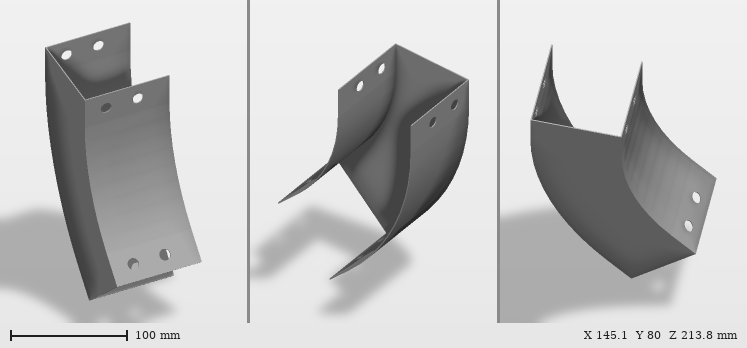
import cadquery as cq
import math

height = 213.8
width = 80.0
depth = 80.0
sheet = 1.0
tab_length = 30.0
bend_angle = 45.0
hole_diameter = 10.0
hole_pitch = 30.0
hole_end_distance = tab_length / 2

bend_sin = math.sin(math.radians(bend_angle))
bend_cos = math.cos(math.radians(bend_angle))

outer_radius = (height - tab_length * (1 + bend_cos)) / bend_sin
bend_z = height - tab_length


def path_point(offset, angle, run=0.0):
    """XZ point at an offset from the outer face, turned through the bend, then run straight on."""
    turn = math.radians(angle)
    radius = outer_radius - offset
    x = outer_radius - radius * math.cos(turn) + run * math.sin(turn)
    z = bend_z - radius * math.sin(turn) - run * math.cos(turn)
    return x, z


def curved_band(near_offset, far_offset, y_size):
    """Solid between two concentric paths, rising along +Y from Y = 0."""
    middle = bend_angle / 2
    return (
        cq.Workplane("XZ")
        .moveTo(near_offset, height)
        .lineTo(*path_point(near_offset, 0))
        .threePointArc(path_point(near_offset, middle), path_point(near_offset, bend_angle))
        .lineTo(*path_point(near_offset, bend_angle, tab_length))
        .lineTo(*path_point(far_offset, bend_angle, tab_length))
        .lineTo(*path_point(far_offset, bend_angle))
        .threePointArc(path_point(far_offset, middle), path_point(far_offset, 0))
        .lineTo(far_offset, height)
        .close()
        .extrude(-y_size)
    )


def hole_cutter(x, z, y, direction):
    """Cylinder passing through both walls, starting at the outer face."""
    return cq.Workplane(
        cq.Solid.makeCylinder(hole_diameter / 2, width, cq.Vector(x, y, z), cq.Vector(*direction))
    )


base_plate = curved_band(0, width, sheet)
outer_wall = curved_band(0, sheet, depth)
inner_wall = curved_band(width - sheet, width, depth)
result = base_plate.union(outer_wall).union(inner_wall)

lower_x, lower_z = path_point(0, bend_angle, tab_length - hole_end_distance)
for hole_number in (1, 2):
    hole_y = depth - hole_number * hole_pitch
    upper_hole = hole_cutter(0, height - hole_end_distance, hole_y, (1, 0, 0))
    lower_hole = hole_cutter(lower_x, lower_z, hole_y, (bend_cos, 0, bend_sin))
    result = result.cut(upper_hole).cut(lower_hole)